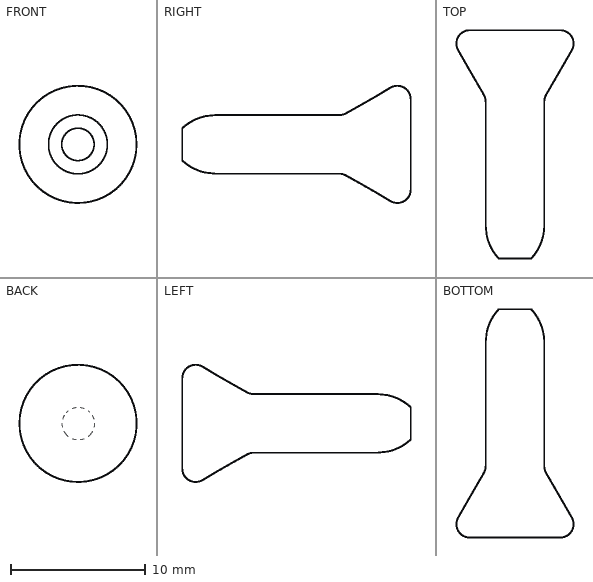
import cadquery as cq
import math

length = 17.0
head_radius = 4.37
shaft_radius = 2.2

rim_round = 1.0
neck_round = 1.0
cone_angle = math.radians(30)

tip_length = 2.48
tip_flat_radius = 1.2

cos_cone = math.cos(cone_angle)
sin_cone = math.sin(cone_angle)

rim_center_radius = head_radius - rim_round
rim_end_radius = rim_center_radius + rim_round * cos_cone
rim_end_y = -rim_round * (1 + sin_cone)

neck_start_radius = shaft_radius + neck_round * (1 - cos_cone)
neck_start_y = rim_end_y - (rim_end_radius - neck_start_radius) / math.tan(cone_angle)
neck_end_y = neck_start_y - neck_round * sin_cone

tip_start_y = tip_length - length

half_outline = (
    cq.Workplane("XY")
    .lineTo(rim_center_radius, 0)
    .threePointArc((head_radius, -rim_round), (rim_end_radius, rim_end_y))
    .lineTo(neck_start_radius, neck_start_y)
    .tangentArcPoint((shaft_radius, neck_end_y), relative=False)
    .lineTo(shaft_radius, tip_start_y)
    .tangentArcPoint((tip_flat_radius, -length), relative=False)
    .lineTo(0, -length)
    .close()
)

result = half_outline.revolve(360, (0, 0, 0), (0, 1, 0))